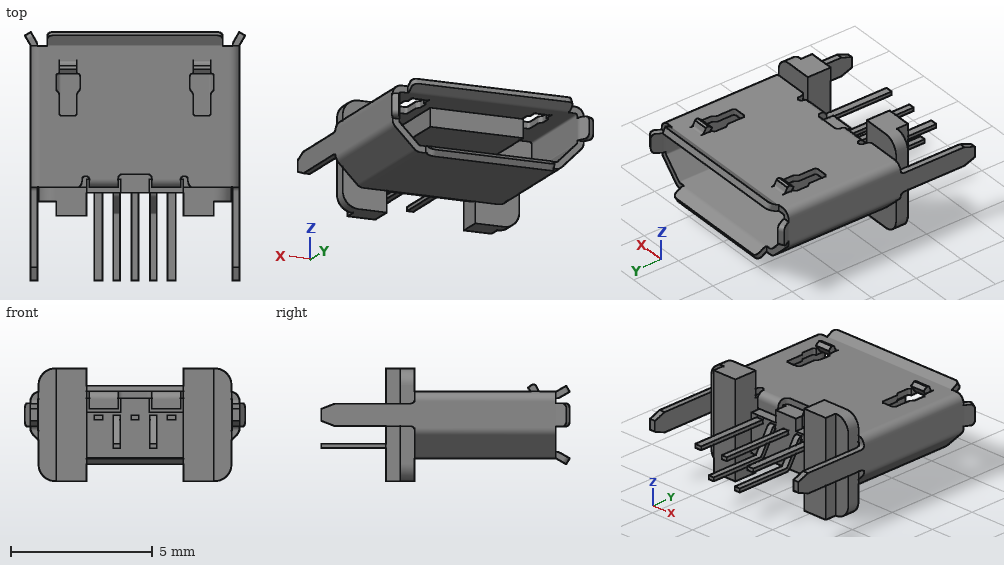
import cadquery as cq
import math


SHELL_LENGTH = 5.0
SHELL_HALF_WIDTH = 3.7
SHELL_TOP_Z = 1.18
SHELL_BOTTOM_Z = -1.2
SHEET = 0.25
SHELL_CORNER = 0.35
BEVEL_START_Z = -0.263
FLAT_HALF_WIDTH = SHELL_HALF_WIDTH - (BEVEL_START_Z - SHELL_BOTTOM_Z)
INNER_TOP = SHELL_TOP_Z - SHEET

LIP_REACH = 0.49
LIP_ANGLE = math.radians(30)
LIP_BEND = 0.05
LIP_CORNER = 0.18
TOP_LIP_WIDTH = 6.22
BOTTOM_LIP_WIDTH = 2 * (FLAT_HALF_WIDTH - SHELL_CORNER)
SIDE_LIP_WIDTH = 0.83

SIDE_CENTER_Z = 0.35
TANG_WIDTH = 0.8
TANG_LENGTH = 3.31
TANG_TIP_LENGTH = 0.48
TANG_TIP_WIDTH = 0.43
TANG_ROOT_RADIUS = 0.15

WINDOW_X = 2.37
WINDOW_REAR_Y = 2.52
WINDOW_STEP_Y = 3.31
WINDOW_WIDE_Y = 3.45
WINDOW_FRONT_Y = 4.02
WINDOW_WIDTH = 0.63
WINDOW_WIDE_WIDTH = 0.85
WINDOW_CORNER = 0.1
TAB_ROOT_Y = 4.49
TAB_BEND_MIDDLE = (0.07, 0.01)
TAB_BEND_END = (0.12, 0.055)
TAB_CROWN_START = (0.205, 0.22)
TAB_CROWN_MIDDLE = (0.26, 0.25)
TAB_CROWN_END = (0.32, 0.255)
TAB_TIP = (0.485, 0.13)
TAB_UNDERSIDE_START = (0.29, -0.14)
TAB_UNDERSIDE_MIDDLE = (0.18, -0.22)
TAB_UNDERSIDE_END = (0, -SHEET)

LATCH_INNER_X = 0.6
LATCH_OUTER_X = 1.615
LATCH_BEND = 0.28
LATCH_BOTTOM_Z = 0.57
NOTCH_DEPTH = 0.46
NOTCH_CORNER = 0.17
RELIEF_DEPTH = 0.385
RELIEF_WIDTH = 0.26
RELIEF_CORNER = 0.12
RELIEF_FLARE = 0.11
RELIEF_FLARE_Y = 0.2

FOOT_HALF_HEIGHT = 2.0
FLANGE_HALF_WIDTH = 3.42
FLANGE_THICKNESS = 0.52
FLANGE_CORNER = 0.6
FOOT_INNER_X = 1.713
FOOT_OUTER_X = 2.79
FOOT_DEPTH = 1.02
REAR_WALL = 0.21
REAR_WALL_BOTTOM_Z = -1.16
PLUG_LENGTH = 1.0
RECESS_INNER_X = 0.5
RECESS_FLOOR_Z = 0.436
TONGUE_HALF_WIDTH = 1.8
TONGUE_FRONT_Y = 4.0
TONGUE_BOTTOM_Z = 0.1
TONGUE_TOP_Z = 0.8

PIN_PITCH = 0.65
PIN_WIDTH = 0.25
OUTER_PIN_WIDTH = 0.3
PIN_THICKNESS = 0.155
PIN_UPPER_Z = 0.26
PIN_LOWER_Z = -0.748
PIN_ROOT_Y = 0.6
PIN_TIP_Y = -TANG_LENGTH
PIN_BEND_START_Y = -0.26
PIN_BEND_END_Y = -0.89
PIN_OUTER_BEND = 0.22
PIN_INNER_BEND = 0.07


def box(x0, x1, y0, y1, z0, z1):
    return cq.Workplane("XY").box(x1 - x0, y1 - y0, z1 - z0, centered=False).translate((x0, y0, z0))


def mirrored_pair(solid):
    return solid.union(solid.mirror("YZ"))


def tube_prism(length, inset):
    """Prism with the shell's cross-section, drawn in by the inset."""
    corners = [
        (-SHELL_HALF_WIDTH, SHELL_TOP_Z),
        (SHELL_HALF_WIDTH, SHELL_TOP_Z),
        (SHELL_HALF_WIDTH, BEVEL_START_Z),
        (FLAT_HALF_WIDTH, SHELL_BOTTOM_Z),
        (-FLAT_HALF_WIDTH, SHELL_BOTTOM_Z),
        (-SHELL_HALF_WIDTH, BEVEL_START_Z),
    ]
    outline = cq.Workplane("XZ").polyline(corners).close()
    if inset:
        outline = outline.offset2D(-inset)
    return outline.extrude(-length).edges("|Y").fillet(SHELL_CORNER - inset)


def lip(root, outward, width):
    """Lip that carries on from a wall's outer face at root and bends outward."""
    along = cq.Vector(0, 1, 0)
    out = cq.Vector(*outward)
    plane = cq.Plane(origin=root, xDir=along, normal=along.cross(out))
    sin, cos = math.sin(LIP_ANGLE), math.cos(LIP_ANGLE)

    def on_bend(radius, angle):
        return (radius * math.sin(angle), LIP_BEND - radius * math.cos(angle))

    inner_bend = LIP_BEND + SHEET
    inner_end = on_bend(inner_bend, LIP_ANGLE)
    straight = (LIP_REACH - inner_end[0]) / cos
    inner_tip = (LIP_REACH, inner_end[1] + straight * sin)
    outer_tip = (inner_tip[0] - SHEET * sin, inner_tip[1] + SHEET * cos)
    blade = (
        cq.Workplane(plane)
        .moveTo(0, 0)
        .threePointArc(on_bend(LIP_BEND, LIP_ANGLE / 2), on_bend(LIP_BEND, LIP_ANGLE))
        .lineTo(*outer_tip)
        .lineTo(*inner_tip)
        .lineTo(*inner_end)
        .threePointArc(on_bend(inner_bend, LIP_ANGLE / 2), (0, -SHEET))
        .close()
        .extrude(width / 2, both=True)
    )
    across_sheet = out * cos - along * sin
    return blade.edges(cq.selectors.ParallelDirSelector(across_sheet)).fillet(LIP_CORNER)


def tang():
    """Tapered mounting leg that carries on from the right side wall, with rounded roots."""
    half = TANG_WIDTH / 2
    tip_half = TANG_TIP_WIDTH / 2
    shoulder_y = TANG_TIP_LENGTH - TANG_LENGTH
    root = half + TANG_ROOT_RADIUS
    sag = TANG_ROOT_RADIUS * (1 - math.sqrt(0.5))
    return (
        cq.Workplane("YZ", origin=(SHELL_HALF_WIDTH - SHEET, 0, SIDE_CENTER_Z))
        .moveTo(0, root)
        .threePointArc((-sag, half + sag), (-TANG_ROOT_RADIUS, half))
        .lineTo(shoulder_y, half)
        .lineTo(-TANG_LENGTH, tip_half)
        .lineTo(-TANG_LENGTH, -tip_half)
        .lineTo(shoulder_y, -half)
        .lineTo(-TANG_ROOT_RADIUS, -half)
        .threePointArc((-sag, -half - sag), (0, -root))
        .close()
        .extrude(SHEET)
    )


def top_cut(outline):
    """Turn an XY outline drawn at the inner top face into a cutter through the top wall."""
    return outline.extrude(SHEET)


def top_plane():
    return cq.Workplane("XY", origin=(0, 0, INNER_TOP))


def window():
    """Keyhole window in the right half of the top, with a slot for the tab at its front."""
    half = WINDOW_WIDTH / 2
    wide_half = WINDOW_WIDE_WIDTH / 2
    right_side = [
        (half, WINDOW_REAR_Y),
        (half, WINDOW_STEP_Y),
        (wide_half, WINDOW_WIDE_Y),
        (wide_half, WINDOW_FRONT_Y),
    ]
    left_side = [(-x, y) for x, y in reversed(right_side)]
    outline = top_plane().polyline(right_side + left_side).close()
    keyhole = top_cut(outline).edges("|Z").fillet(WINDOW_CORNER).translate((WINDOW_X, 0, 0))
    slot_rear_y = (WINDOW_STEP_Y + WINDOW_FRONT_Y) / 2
    slot = box(WINDOW_X - half, WINDOW_X + half, slot_rear_y, TAB_ROOT_Y, INNER_TOP, SHELL_TOP_Z)
    return keyhole.union(slot)


def window_tab():
    """Short tab that bends up and back from the front of the window."""

    def tab_point(point):
        back, rise = point
        return (TAB_ROOT_Y - back, SHELL_TOP_Z + rise)

    profile = (
        cq.Workplane("YZ", origin=(WINDOW_X, 0, 0))
        .moveTo(TAB_ROOT_Y, SHELL_TOP_Z)
        .threePointArc(tab_point(TAB_BEND_MIDDLE), tab_point(TAB_BEND_END))
        .lineTo(*tab_point(TAB_CROWN_START))
        .threePointArc(tab_point(TAB_CROWN_MIDDLE), tab_point(TAB_CROWN_END))
        .lineTo(*tab_point(TAB_TIP))
        .lineTo(*tab_point(TAB_UNDERSIDE_START))
        .threePointArc(tab_point(TAB_UNDERSIDE_MIDDLE), tab_point(TAB_UNDERSIDE_END))
        .close()
    )
    return profile.extrude(WINDOW_WIDTH / 2, both=True)


def latch():
    """Right-hand latch: the top wall bent down into the housing recess."""
    inner_bend = LATCH_BEND - SHEET
    bend_z = SHELL_TOP_Z - LATCH_BEND
    diagonal = math.sqrt(0.5)

    def bend_middle(radius):
        return (LATCH_BEND - radius * diagonal, bend_z + radius * diagonal)

    return (
        cq.Workplane("YZ", origin=(LATCH_INNER_X, 0, 0))
        .moveTo(LATCH_BEND, SHELL_TOP_Z)
        .threePointArc(bend_middle(LATCH_BEND), (0, bend_z))
        .lineTo(0, LATCH_BOTTOM_Z)
        .lineTo(SHEET, LATCH_BOTTOM_Z)
        .lineTo(SHEET, bend_z)
        .threePointArc(bend_middle(inner_bend), (LATCH_BEND, INNER_TOP))
        .close()
        .extrude(LATCH_OUTER_X - LATCH_INNER_X)
    )


def relief():
    """Round-ended relief notch outside the right-hand latch, flared at the rear edge."""
    outer_x = LATCH_OUTER_X + RELIEF_WIDTH
    notch = box(LATCH_OUTER_X, outer_x, 0, RELIEF_DEPTH, INNER_TOP, SHELL_TOP_Z)
    notch = notch.edges("|Z and >Y").fillet(RELIEF_CORNER)
    bow = RELIEF_FLARE / 4
    flare = top_cut(
        top_plane()
        .moveTo(outer_x, RELIEF_FLARE_Y)
        .threePointArc((outer_x + bow, RELIEF_FLARE_Y / 2), (outer_x + RELIEF_FLARE, 0))
        .lineTo(outer_x, 0)
        .close()
    )
    return notch.union(flare)


def center_notch():
    notch = box(-LATCH_INNER_X, LATCH_INNER_X, 0, NOTCH_DEPTH, INNER_TOP, SHELL_TOP_Z)
    return notch.edges("|Z and >Y").fillet(NOTCH_CORNER)


def make_shell():
    shell = tube_prism(SHELL_LENGTH, 0).cut(tube_prism(SHELL_LENGTH, SHEET))
    latch_space = box(LATCH_INNER_X, LATCH_OUTER_X, 0, LATCH_BEND, INNER_TOP, SHELL_TOP_Z)
    for cutter in (window(), relief(), latch_space):
        shell = shell.cut(mirrored_pair(cutter))
    shell = shell.cut(center_notch())

    side_lip = lip((SHELL_HALF_WIDTH, SHELL_LENGTH, SIDE_CENTER_Z), (1, 0, 0), SIDE_LIP_WIDTH)
    for added in (window_tab(), latch(), tang(), side_lip):
        shell = shell.union(mirrored_pair(added))
    shell = shell.union(lip((0, SHELL_LENGTH, SHELL_TOP_Z), (0, 0, 1), TOP_LIP_WIDTH))
    return shell.union(lip((0, SHELL_LENGTH, SHELL_BOTTOM_Z), (0, 0, -1), BOTTOM_LIP_WIDTH))


def foot():
    """Right-hand flange with rounded outer corners and the square foot behind it."""
    z0, z1 = -FOOT_HALF_HEIGHT, FOOT_HALF_HEIGHT
    flange = box(FOOT_INNER_X, FLANGE_HALF_WIDTH, -FLANGE_THICKNESS, 0, z0, z1)
    flange = flange.edges("|Y and >X").fillet(FLANGE_CORNER)
    return flange.union(box(FOOT_INNER_X, FOOT_OUTER_X, -FOOT_DEPTH, 0, z0, z1))


def make_housing(pins):
    housing = tube_prism(PLUG_LENGTH, SHEET)
    housing = housing.union(
        box(-FOOT_INNER_X, FOOT_INNER_X, -REAR_WALL, 0, REAR_WALL_BOTTOM_Z, INNER_TOP)
    )
    housing = housing.union(mirrored_pair(foot()))
    housing = housing.union(
        box(-TONGUE_HALF_WIDTH, TONGUE_HALF_WIDTH, 0, TONGUE_FRONT_Y, TONGUE_BOTTOM_Z, TONGUE_TOP_Z)
    )
    recess = box(RECESS_INNER_X, FOOT_INNER_X, -REAR_WALL, LATCH_BEND, RECESS_FLOOR_Z, INNER_TOP)
    housing = housing.cut(mirrored_pair(recess))
    for pin in pins:
        housing = housing.cut(pin)
    return housing


def straight_pin(x, width):
    half = PIN_THICKNESS / 2
    return box(x - width / 2, x + width / 2, PIN_TIP_Y, PIN_ROOT_Y, PIN_UPPER_Z - half, PIN_UPPER_Z + half)


def bent_pin(x, width):
    """Pin that leaves the housing in the upper row and slopes down to the lower row."""
    half = PIN_THICKNESS / 2
    slope = math.atan2(PIN_UPPER_Z - PIN_LOWER_Z, PIN_BEND_START_Y - PIN_BEND_END_Y)
    shift = half * math.tan(slope / 2)
    upper_face = [
        (PIN_ROOT_Y, PIN_UPPER_Z + half),
        (PIN_BEND_START_Y - shift, PIN_UPPER_Z + half),
        (PIN_BEND_END_Y - shift, PIN_LOWER_Z + half),
        (PIN_TIP_Y, PIN_LOWER_Z + half),
    ]
    lower_face = [
        (PIN_TIP_Y, PIN_LOWER_Z - half),
        (PIN_BEND_END_Y + shift, PIN_LOWER_Z - half),
        (PIN_BEND_START_Y + shift, PIN_UPPER_Z - half),
        (PIN_ROOT_Y, PIN_UPPER_Z - half),
    ]
    pin = cq.Workplane("YZ", origin=(x, 0, 0)).polyline(upper_face + lower_face).close()
    pin = pin.extrude(width / 2, both=True)
    outer_bends = (upper_face[1], lower_face[1])
    inner_bends = (upper_face[2], lower_face[2])
    for bends, radius in ((outer_bends, PIN_OUTER_BEND), (inner_bends, PIN_INNER_BEND)):
        for y, z in bends:
            pin = pin.edges(cq.selectors.NearestToPointSelector((x, y, z))).fillet(radius)
    return pin


def make_pins():
    """Outer and middle pins are straight; the two between them are bent."""
    pins = []
    for place in (-2, -1, 0, 1, 2):
        make_pin = bent_pin if abs(place) == 1 else straight_pin
        width = OUTER_PIN_WIDTH if abs(place) == 2 else PIN_WIDTH
        pins.append(make_pin(place * PIN_PITCH, width))
    return pins


shell = make_shell()
pins = make_pins()
housing = make_housing(pins)

bodies = [shell, housing, *pins]
result = cq.Compound.makeCompound([body.solids().val() for body in bodies])